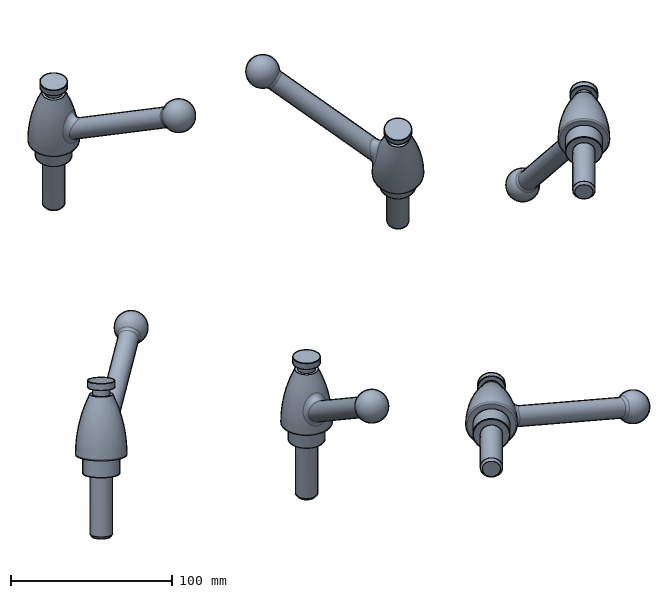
import cadquery as cq
import math

stud_dia = 14.0
stud_chamfer_height = 1.7
stud_tip_dia = 11.1
collar_bottom = 40.3
collar_dia = 23.0
collar_chamfer = 0.4
body_bottom = 52.1
body_dia = 32.1
body_edge_round = 1.0
body_top = 90.9
body_top_dia = 14.6
neck_dia = 11.1
cap_bottom = 95.3
cap_top = 99.8
cap_dia = 17.2
cap_chamfer = 0.2

overall_height = 122.5
overall_length = 117.5
ball_dia = 21.1
handle_dia = 13.0
handle_angle = 30.0
root_fillet = 4.3
ball_fillet = 3.1

ball_x = overall_length - body_dia / 2 - ball_dia / 2
ball_z = overall_height - ball_dia / 2
axis_z = ball_z - ball_x * math.tan(math.radians(handle_angle))
handle_length = ball_x / math.cos(math.radians(handle_angle))


def disc(diameter, bottom, top):
    """Cylinder on the Z axis between two heights."""
    return cq.Workplane("XY").workplane(offset=bottom).circle(diameter / 2).extrude(top - bottom)


def make_body():
    """Dome whose side is an arc, vertical at the base, up to the flat top."""
    height = body_top - body_bottom
    inset = (body_dia - body_top_dia) / 2
    side_radius = (height**2 + inset**2) / (2 * inset)
    return (
        cq.Workplane("XZ")
        .moveTo(0, body_bottom)
        .lineTo(-body_dia / 2, body_bottom)
        .radiusArc((-body_top_dia / 2, body_top), side_radius)
        .lineTo(0, body_top)
        .close()
        .revolve(360, (0, 0, 0), (0, 1, 0))
        .faces("<Z")
        .edges()
        .fillet(body_edge_round)
    )


def make_handle():
    """Inclined rod that starts on the body axis and ends at the ball centre."""
    slope = math.radians(handle_angle)
    direction = (math.cos(slope), 0, math.sin(slope))
    plane = cq.Plane(origin=(0, 0, axis_z), xDir=(0, 1, 0), normal=direction)
    return cq.Workplane(plane).circle(handle_dia / 2).extrude(handle_length)


def handle_joint(x_min, x_max):
    """Selector for edges around the handle within a range of X."""
    box_bottom = body_bottom + body_edge_round
    return cq.selectors.BoxSelector(
        (x_min, -body_dia, box_bottom), (x_max, body_dia, overall_height)
    )


lever = make_body().union(make_handle())
lever = lever.edges(handle_joint(body_top_dia / 2, body_dia)).fillet(root_fillet)
ball = cq.Workplane("XY").sphere(ball_dia / 2).translate((ball_x, 0, ball_z))
lever = lever.union(ball)
lever = lever.edges(handle_joint(ball_x - ball_dia / 2, ball_x)).fillet(ball_fillet)

stud_chamfer_width = (stud_dia - stud_tip_dia) / 2
stud = disc(stud_dia, 0, body_bottom).faces("<Z").chamfer(stud_chamfer_height, stud_chamfer_width)
collar = disc(collar_dia, collar_bottom, body_bottom).faces("<Z").chamfer(collar_chamfer)
neck = disc(neck_dia, body_top, cap_bottom)
cap = disc(cap_dia, cap_bottom, cap_top).faces("<Z or >Z").chamfer(cap_chamfer)

result = lever.union(collar).union(stud).union(neck).union(cap)